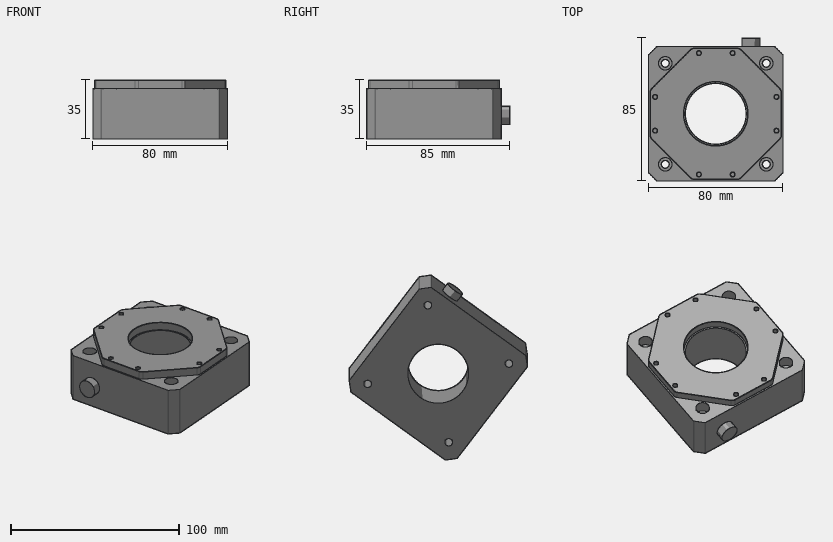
import cadquery as cq

BASE_WIDTH = 80.0
BASE_HEIGHT = 30.0
BASE_CORNER_CUT = 5.0
BASE_EDGE_RADIUS = 0.5
BORE_DIAMETER = 36.0

MOUNT_OFFSET = 30.0
MOUNT_DIAMETER = 4.5
COUNTERBORE_DIAMETER = 8.0
COUNTERBORE_DEPTH = 8.0

OVERALL_LENGTH = 85.0
CONNECTOR_DIAMETER = 11.0
CONNECTOR_X = 20.9
CONNECTOR_Z = 14.0
CONNECTOR_LENGTH = OVERALL_LENGTH - BASE_WIDTH

PLATE_WIDTH = 77.95
PLATE_THICKNESS = 5.0
PLATE_CORNER_CUT = 24.8
PLATE_CORNER_RADIUS = 3.0
PLATE_BORE_DIAMETER = 38.0
PLATE_EDGE_CHAMFER = 0.2

SCREW_DIAMETER = 2.55
SCREW_HALF_SPACING = 10.0
SCREW_RADIAL_OFFSET = 36.0


def chamfered_square(width, corner_cut, height):
    """Square prism on Z = 0, centred on the Z axis, with its four corners cut at 45 degrees."""
    return (
        cq.Workplane("XY")
        .rect(width, width)
        .extrude(height)
        .edges("|Z")
        .chamfer(corner_cut)
    )


def make_connector():
    """Round boss standing out from the +Y face of the base."""
    return (
        cq.Workplane("XZ", origin=(CONNECTOR_X, BASE_WIDTH / 2, CONNECTOR_Z))
        .circle(CONNECTOR_DIAMETER / 2)
        .extrude(-CONNECTOR_LENGTH)
    )


def make_base():
    """Base block with its central bore, corner mounting holes and connector boss."""
    outline = chamfered_square(BASE_WIDTH, BASE_CORNER_CUT, BASE_HEIGHT)
    block = outline.edges("|Z").fillet(BASE_EDGE_RADIUS)
    top = cq.Workplane("XY", origin=(0, 0, BASE_HEIGHT))
    bore = top.circle(BORE_DIAMETER / 2).extrude(-BASE_HEIGHT)
    mount_points = top.rect(2 * MOUNT_OFFSET, 2 * MOUNT_OFFSET, forConstruction=True).vertices()
    mount_holes = mount_points.circle(MOUNT_DIAMETER / 2).extrude(-BASE_HEIGHT)
    counterbores = mount_points.circle(COUNTERBORE_DIAMETER / 2).extrude(-COUNTERBORE_DEPTH)
    return block.cut(bore).cut(mount_holes).cut(counterbores).union(make_connector())


def make_plate():
    """Eight-sided plate resting on the base, with a central bore and eight screw holes."""
    outline = chamfered_square(PLATE_WIDTH, PLATE_CORNER_CUT, PLATE_THICKNESS)
    body = outline.edges("|Z").fillet(PLATE_CORNER_RADIUS)
    bore = cq.Workplane("XY").circle(PLATE_BORE_DIAMETER / 2).extrude(PLATE_THICKNESS)
    screw_points = []
    for side in (-1, 1):
        for end in (-1, 1):
            across = side * SCREW_RADIAL_OFFSET
            along = end * SCREW_HALF_SPACING
            screw_points += [(across, along), (along, across)]
    screw_holes = (
        cq.Workplane("XY")
        .pushPoints(screw_points)
        .circle(SCREW_DIAMETER / 2)
        .extrude(PLATE_THICKNESS)
    )
    drilled = body.cut(bore).cut(screw_holes)
    return drilled.faces(">Z").edges().chamfer(PLATE_EDGE_CHAMFER).translate((0, 0, BASE_HEIGHT))


base = make_base()
plate = make_plate()
result = cq.Compound.makeCompound([base.val(), plate.val()])